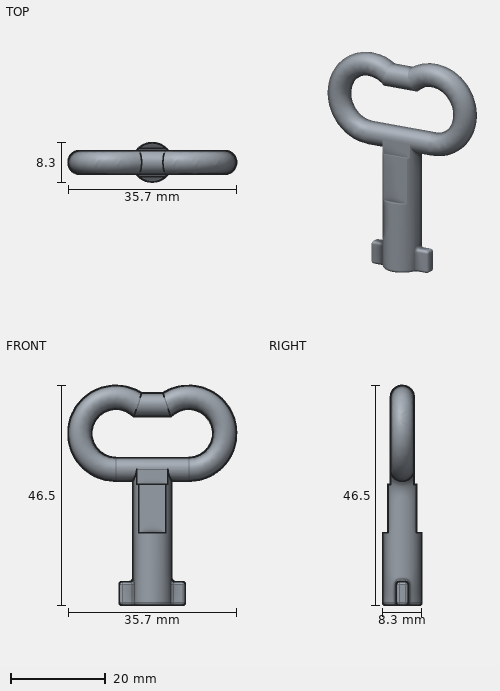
import cadquery as cq
import math

height = 46.5
bar_diameter = 5.0
lobe_outer_radius = 10.15
lobe_spacing = 15.4
upper_bar_drop = 4.1

bar_radius = bar_diameter / 2
lobe_radius = lobe_outer_radius - bar_radius
lobe_x = lobe_spacing / 2
lobe_z = height - lobe_outer_radius
lower_bar_z = lobe_z - lobe_radius
upper_bar_z = height - upper_bar_drop

shaft_diameter = 8.3
flats_thickness = 6.05
flats_bottom_z = 15.4
flats_top_z = 25.55

bit_length = 14.0
bit_thickness = 2.5
bit_height = 5.0
edge_radius = 0.6


def make_handle():
    """Sweep the round bar along the closed loop, mitred where lobes meet the upper bar."""
    rise = upper_bar_z - lobe_z
    inward = math.sqrt(lobe_radius**2 - rise**2)
    joint_x = lobe_x - inward
    path = (
        cq.Workplane("XZ")
        .moveTo(0, lower_bar_z)
        .lineTo(lobe_x, lower_bar_z)
        .threePointArc((lobe_x + lobe_radius, lobe_z), (joint_x, upper_bar_z))
        .lineTo(-joint_x, upper_bar_z)
        .threePointArc((-lobe_x - lobe_radius, lobe_z), (-lobe_x, lower_bar_z))
        .close()
    )
    section = cq.Workplane("YZ").center(0, lower_bar_z).circle(bar_radius)
    return section.sweep(path, transition="right")


def edges_between(low_z, high_z):
    """Selector for everything centred between two heights."""
    reach = bit_length
    return cq.selectors.BoxSelector((-reach, -reach, low_z), (reach, reach, high_z))


def make_shaft_with_bit():
    """Shaft and cross bar with all edges rounded, except at the top of the shaft."""
    shaft = cq.Workplane("XY").circle(shaft_diameter / 2).extrude(lower_bar_z)
    bit = cq.Workplane("XY").rect(bit_length, bit_thickness).extrude(bit_height)
    body = shaft.union(bit)
    body = body.edges(edges_between(edge_radius / 2, bit_height + edge_radius)).fillet(edge_radius)
    return body.edges(edges_between(-edge_radius, edge_radius / 2)).fillet(edge_radius)


def side_cuts(thickness, bottom_z, top_z):
    """Blocks on both Y sides that leave the given thickness between them."""
    depth = shaft_diameter / 2
    cuts = cq.Workplane("XY")
    for side in (-1, 1):
        center_y = side * (thickness + depth) / 2
        block = (
            cq.Workplane("XY", origin=(0, center_y, bottom_z))
            .rect(shaft_diameter, depth)
            .extrude(top_z - bottom_z)
        )
        cuts = cuts.add(block)
    return cuts.combine()


wide_flats = side_cuts(flats_thickness, flats_bottom_z, flats_top_z)
neck_flats = side_cuts(bar_diameter, flats_top_z, lower_bar_z)

shaft = make_shaft_with_bit().cut(wide_flats).cut(neck_flats)
result = shaft.union(make_handle())